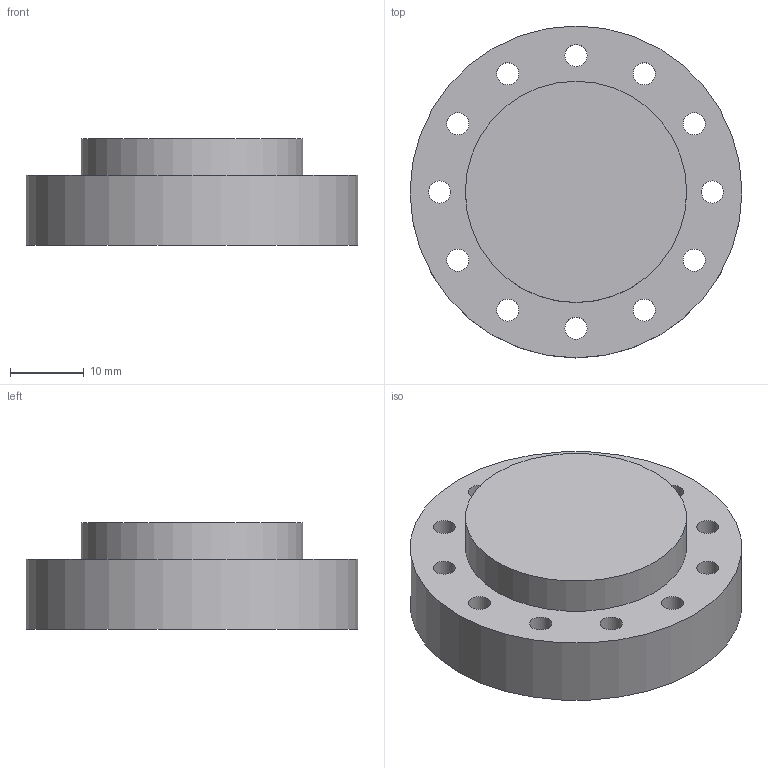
import cadquery as cq

flange_diameter = 45.0
flange_thickness = 9.5
boss_diameter = 30.0
boss_height = 5.0
hole_count = 12
hole_diameter = 3.0
bolt_circle_diameter = 37.0


def make_flange():
    """Round flange with its lower face on the XY plane."""
    return cq.Workplane("XY").circle(flange_diameter / 2).extrude(flange_thickness)


def add_boss(body):
    """Add the round boss, concentric with the flange, on its upper face."""
    return body.faces(">Z").workplane().circle(boss_diameter / 2).extrude(boss_height)


def cut_bolt_holes(body):
    """Cut the ring of equally spaced through holes around the boss."""
    holes = (
        cq.Workplane("XY")
        .polarArray(bolt_circle_diameter / 2, 0, 360, hole_count)
        .circle(hole_diameter / 2)
        .extrude(flange_thickness)
    )
    return body.cut(holes)


result = cut_bolt_holes(add_boss(make_flange()))